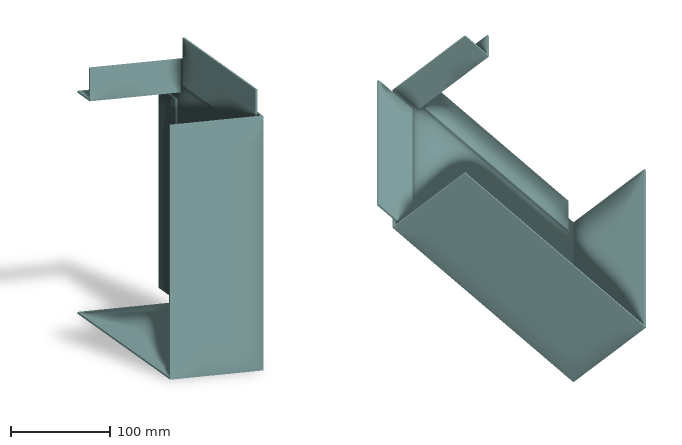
import cadquery as cq

overall = 291.0
depth = 100.0
wall = 2.0
notch = 33.0
tab_overhang = 25.0
tab_width = 2 * tab_overhang
tab_thickness = 2.0
tab_gap = 9.5

box_side = overall - tab_overhang
step = box_side - notch
tab_start = wall + tab_gap
tab_length = step - 2 * tab_start
plate_front = depth - wall


def block(x, y, z, size_x, size_y, size_z):
    """Box with its lowest corner at (x, y, z)."""
    return cq.Workplane("XY").box(size_x, size_y, size_z, centered=False).translate((x, y, z))


back_plate = block(0, plate_front, 0, box_side, wall, box_side).cut(
    block(0, plate_front, step, notch, wall, notch)
)

bottom_wall = block(0, 0, 0, box_side, depth, wall)
right_wall = block(box_side - wall, 0, 0, wall, depth, box_side)

step_floor = block(0, 0, step - wall, notch + wall, depth, wall)
step_side = block(notch, 0, step - wall, wall, depth, notch + wall)

tab_y = plate_front - tab_thickness
left_tab = block(-tab_overhang, tab_y, tab_start, tab_width, tab_thickness, tab_length)
top_tab = block(
    notch + tab_start, tab_y, box_side - tab_overhang, tab_length, tab_thickness, tab_width
)

result = back_plate
for piece in (bottom_wall, right_wall, step_floor, step_side, left_tab, top_tab):
    result = result.union(piece)